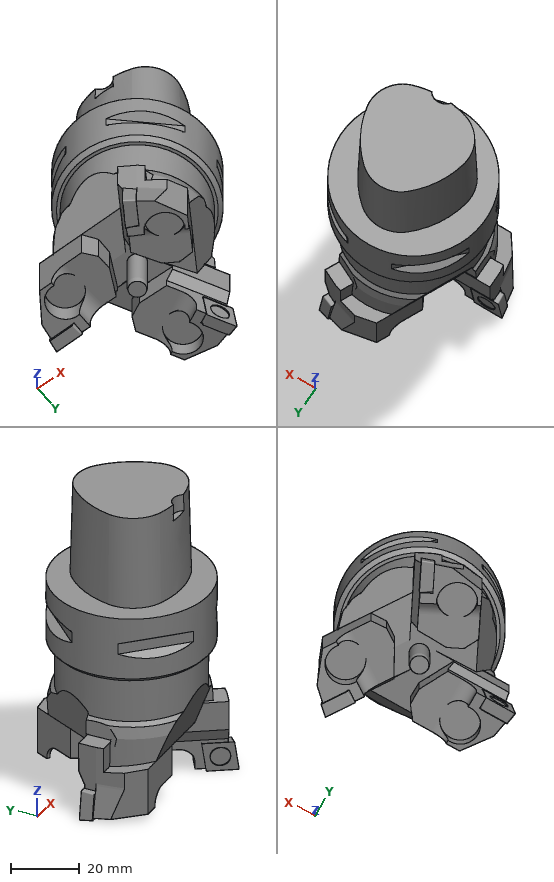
import cadquery as cq
import math


slide_angles = [180, 64, -56.5]
reach = 57.6

tool_top = 96
flange_top = 66.2
lobe_spacing = 120
shank_lobe_angles = [90 + lobe_spacing * number for number in range(3)]
shank_lobe_radius = 18.6
shank_side_radius = 16.2
shank_joint_radius = 17.6
shank_joint_angle = 26
shank_draft = 0.8
notch_radius = 4.0
notch_center_y = -17.6
notch_depth = 5.4

flange_radius = 50.0 / 2
flange_chamfer = 1.4
flange_bottom = 44.7
neck_radius = 45.0 / 2
neck_bottom = 30.4
shoulder_radius = 23.7
shoulder_z = 29.2
skirt_radius = 24.6
skirt_top = 25.5
holder_bottom = 16.0

groove_angles = [45, 135, 225, 315]
groove_z = 56.1
groove_floor_radius = 22.2
groove_floor_height = 3.5
groove_mouth_height = 6.7

nozzle_radius = 6.0 / 2
nozzle_bottom = 1.2
nozzle_chamfer_height = 1.5
nozzle_chamfer_width = 0.3

guide_front = -3.1
guide_back = 4.9
guide_top = 24.0
guide_clearance = 0.7
guide_radius = 28.3
guide_corner = 2.6
base_back = 16.9
base_back_z = 17.7
base_inner_points = [(7.3, base_back), (4.2, 12.8), (4.2, 7.7), (9.9, guide_front)]
back_bevel_start = (23.0, base_back)
back_bevel_end = (27.1, 11.2)
gash_slope = 0.325

flat_radius_top = 23.3
flat_radius_bottom = 24.1
flat_half_length = 9.6

flare_top = 11.7
flare_step = 0.1
flare_step_height = 0.7
flare_bottom_radius = 30.5
seat_front = -1.2
rake_step_top = 14.6
rake_step_bottom = 10.5
flare_run_in = 4.8
arch_radius = 4.8
arch_outer = 18.5
arch_top = 7.7
scoop_center = (19.2, 9.8)
scoop_radius = 6.0
foot_front_z = 0.9
foot_back_z = 2.5

insert_front = -1.3
insert_back = guide_corner
insert_height = 9.3
insert_tip_radius = 31.5
insert_width = 9.7
insert_lean = 1.3
insert_relief = 7
insert_corner_radius = 0.4
recess_radius = 6.0 / 2
recess_depth = 0.4
seat_overrun = 4.8


def turned(shape, angle):
    """Turn a shape about the tool axis."""
    return shape.rotate((0, 0, 0), (0, 0, 1), angle)


def plan_prism(points, bottom, top):
    """Vertical prism on an outline in plan."""
    return cq.Workplane("XY").workplane(offset=bottom).polyline(points).close().extrude(top - bottom)


def radial_prism(points, inner, outer):
    """Prism along the local radial direction on an outline of (back, height) points."""
    return cq.Workplane("YZ").workplane(offset=inner).polyline(points).close().extrude(outer - inner)


def polar(radius, angle):
    """Point in plan at a radius and an angle in degrees."""
    turn = math.radians(angle)
    return (radius * math.cos(turn), radius * math.sin(turn))


def shank_outline(plan, draft):
    """Three-lobed outline: a tight arc over each lobe and a wide arc along each side."""
    plan = plan.moveTo(*polar(shank_joint_radius - draft, shank_lobe_angles[0] - shank_joint_angle))
    for lobe_angle in shank_lobe_angles:
        lobe_end = polar(shank_joint_radius - draft, lobe_angle + shank_joint_angle)
        side_end = polar(shank_joint_radius - draft, lobe_angle + lobe_spacing - shank_joint_angle)
        plan = plan.threePointArc(polar(shank_lobe_radius - draft, lobe_angle), lobe_end)
        plan = plan.threePointArc(polar(shank_side_radius - draft, lobe_angle + lobe_spacing / 2), side_end)
    return plan.close()


def make_shank():
    base = shank_outline(cq.Workplane("XY").workplane(offset=flange_top), 0)
    shank = shank_outline(base.workplane(offset=tool_top - flange_top), shank_draft).loft(ruled=True)
    notch = (
        cq.Workplane("XY").workplane(offset=tool_top - notch_depth)
        .center(0, notch_center_y).circle(notch_radius).extrude(notch_depth)
    )
    return shank.cut(notch)


def make_turned_body():
    nozzle_chamfer_top = nozzle_bottom + nozzle_chamfer_height
    profile = [
        (0, flange_top),
        (flange_radius, flange_top),
        (flange_radius, flange_bottom + flange_chamfer),
        (flange_radius - flange_chamfer, flange_bottom),
        (neck_radius, flange_bottom),
        (neck_radius, neck_bottom),
        (shoulder_radius, shoulder_z),
        (skirt_radius, skirt_top),
        (skirt_radius, holder_bottom),
        (nozzle_radius, holder_bottom),
        (nozzle_radius, nozzle_chamfer_top),
        (nozzle_radius - nozzle_chamfer_width, nozzle_bottom),
        (0, nozzle_bottom),
    ]
    return cq.Workplane("XZ").polyline(profile).close().revolve(360, (0, 0), (0, 1))


def make_gripper_groove():
    """Groove with a flat floor and sloping walls, across the local radial direction."""
    half_floor = groove_floor_height / 2
    half_mouth = groove_mouth_height / 2
    profile = [
        (groove_floor_radius, groove_z - half_floor),
        (flange_radius, groove_z - half_mouth),
        (flange_radius, groove_z + half_mouth),
        (groove_floor_radius, groove_z + half_floor),
    ]
    return cq.Workplane("XZ").polyline(profile).close().extrude(flange_radius, both=True)


def make_back_gash():
    """Space behind a slide: a steep gash over a gently sloping underside."""
    gash_top = flange_bottom
    gash_top_back = base_back + gash_slope * (gash_top - base_back_z)
    profile = [
        (guide_back, holder_bottom),
        (base_back, base_back_z),
        (gash_top_back, gash_top),
        (reach, gash_top),
        (reach, holder_bottom),
    ]
    return radial_prism(profile, -reach, reach)


def make_guide_slot():
    """Slot in the holder for the guide, ending inward along the inner side of the slide."""
    inner_end, inner_start = base_inner_points[-2:]
    share = (guide_back - inner_start[1]) / (inner_end[1] - inner_start[1])
    inner_at_back = inner_start[0] + share * (inner_end[0] - inner_start[0])
    outline = [inner_start, (reach, guide_front), (reach, guide_back), (inner_at_back, guide_back)]
    return plan_prism(outline, holder_bottom, guide_top + guide_clearance)


def make_guide_flat():
    """Cut for the slightly leaning flat on the holder around the guide."""
    profile = [
        (flat_radius_bottom, holder_bottom),
        (reach, holder_bottom),
        (reach, neck_bottom),
        (flat_radius_top, neck_bottom),
    ]
    return cq.Workplane("XZ").polyline(profile).close().extrude(flat_half_length, both=True)


def make_space_behind_guide():
    """Everything on the back side of the plane of a slide's rake face."""
    outline = [(-reach, guide_front), (reach, guide_front), (reach, reach), (-reach, reach)]
    return plan_prism(outline, 0, tool_top)


def make_holder():
    holder = make_turned_body().union(make_shank())
    for angle in groove_angles:
        holder = holder.cut(turned(make_gripper_groove(), angle))
    for index, angle in enumerate(slide_angles):
        next_angle = slide_angles[index - 1]
        gash = turned(make_back_gash(), angle).cut(turned(make_space_behind_guide(), next_angle))
        holder = holder.cut(gash)
        holder = holder.cut(turned(make_guide_slot(), angle))
        holder = holder.cut(turned(make_guide_flat(), angle))
    return holder


def insert_outline(outer_extra=0):
    """Rhombic outline of the insert as (radial, height) points, with its outer side moved out if asked."""
    top_outer = insert_tip_radius - insert_lean
    return [
        (insert_tip_radius - insert_width, 0),
        (insert_tip_radius + outer_extra, 0),
        (top_outer + outer_extra, insert_height),
        (top_outer - insert_width, insert_height),
    ]


def make_insert():
    """Rhombic insert, narrowing behind its rake face, with a shallow round recess."""
    rake_plane = cq.Workplane("XZ", origin=(0, insert_front, 0))
    thickness = insert_back - insert_front
    insert = rake_plane.polyline(insert_outline()).close().extrude(-thickness, taper=insert_relief)
    insert = insert.edges("not(<Y or >Y)").fillet(insert_corner_radius)
    center_x = insert_tip_radius - (insert_width + insert_lean) / 2
    recess = rake_plane.center(center_x, insert_height / 2).circle(recess_radius).extrude(-recess_depth)
    return insert.cut(recess)


def make_slide_block():
    """Base plate with a sloping top, and the guide standing on its front edge."""
    outline = [
        (guide_radius, guide_front),
        (guide_radius, guide_corner),
        back_bevel_end,
        back_bevel_start,
        *base_inner_points,
    ]
    above_base = [
        (guide_back, holder_bottom),
        (base_back, base_back_z),
        (base_back, guide_top),
        (guide_back, guide_top),
    ]
    return plan_prism(outline, 0, guide_top).cut(radial_prism(above_base, 0, reach))


def make_flare():
    """Lower outer part of the slide, flaring outward toward the foot and ending at the back bevel."""
    inner = guide_radius - flare_run_in
    profile = [
        (inner, flare_top),
        (guide_radius, flare_top),
        (guide_radius + flare_step, flare_top - flare_step_height),
        (flare_bottom_radius, 0),
        (inner, 0),
    ]
    flare_turn = math.degrees(math.atan2(guide_radius - back_bevel_end[0], back_bevel_end[1] - guide_corner))
    corner_foot = (guide_radius, guide_corner, 0)
    corner_head = (guide_radius, guide_corner, 1)
    flare = cq.Workplane("XZ").polyline(profile).close().extrude(base_back, both=True)
    flare = flare.rotate(corner_foot, corner_head, flare_turn)
    bevel_slope = (back_bevel_end[0] - back_bevel_start[0]) / (base_back - back_bevel_end[1])
    bevel_outer = back_bevel_start[0] + bevel_slope * (base_back - guide_corner)
    limits = [back_bevel_start, (back_bevel_start[0], guide_corner), (bevel_outer, guide_corner)]
    return flare.intersect(plan_prism(limits, 0, flare_top))


def make_rake_step():
    """Cut that sets the lower rake face back behind the guide front."""
    profile = [
        (guide_front, rake_step_top),
        (seat_front, rake_step_bottom),
        (seat_front, 0),
        (guide_front, 0),
    ]
    return radial_prism(profile, 0, reach)


def make_foot_cut():
    """Cut below the foot, which rises toward the back."""
    profile = [
        (seat_front, 0),
        (seat_front, foot_front_z),
        (base_back, foot_back_z),
        (base_back, 0),
    ]
    return radial_prism(profile, 0, reach)


def make_arch():
    """Round-cornered opening under the inner part of the slide, widened by an upright round scoop."""
    arch = cq.Workplane("XZ").rect(arch_outer * 2, arch_top * 2).extrude(reach, both=True)
    arch = arch.edges("|Y and >X and >Z").fillet(arch_radius)
    scoop = cq.Workplane("XY").center(*scoop_center).circle(scoop_radius).extrude(arch_top)
    return arch.union(scoop)


def make_insert_seat():
    """Seat open toward the rake side and outward."""
    back_plane = cq.Workplane("XZ", origin=(0, insert_back, 0))
    outline = insert_outline(outer_extra=seat_overrun)
    return back_plane.polyline(outline).close().extrude(insert_back - guide_front)


def make_slide():
    slide = make_slide_block().union(make_flare())
    for cutter in [make_rake_step(), make_foot_cut(), make_arch(), make_insert_seat()]:
        slide = slide.cut(cutter)
    return slide


holder = make_holder()
slides = [turned(make_slide(), angle) for angle in slide_angles]
inserts = [turned(make_insert(), angle) for angle in slide_angles]

bodies = [holder, *slides, *inserts]
result = cq.Compound.makeCompound([body.solids().val() for body in bodies])